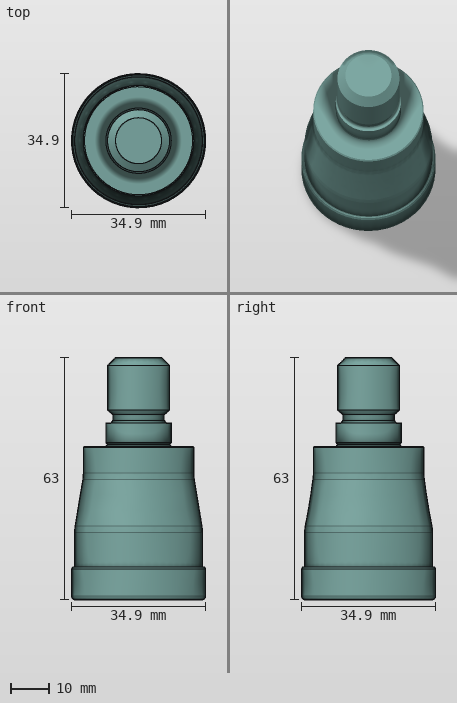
import cadquery as cq

total_height = 63.0

base_radius = 17.45
base_height = 8.55
base_bottom_fillet = 1.1
base_top_chamfer = 0.55
base_top_chamfer_width = 0.3
body_radius = 16.65
neck_radius = 14.35
housing_height = 39.95
housing_edge_chamfer = 0.3

flare_bottom = 18.35
flare_top = 32.1
flare_blend_radius = 10.6
edge_pick_margin = 0.3

collar_radius = 8.5
collar_bottom = 40.9
collar_top = 45.9
waist_radius = 8.05
waist_height = 40.45
foot_radius = collar_radius
groove_radius = 6.7
groove_bottom = 46.7
groove_top = 48.15
groove_flare_radius = 7.25
shank_radius = 8.05
shank_bottom = 49.4
shank_chamfer = 2.1


def revolve_profile(profile):
    """Turn a closed half outline (radius, height) around the Z axis."""
    return profile.close().revolve(360, (0, 0, 0), (0, 1, 0))


def make_housing():
    neck_top_radius = neck_radius - housing_edge_chamfer
    profile = (
        cq.Workplane("XZ")
        .lineTo(base_radius - base_bottom_fillet, 0)
        .radiusArc((base_radius, base_bottom_fillet), -base_bottom_fillet)
        .lineTo(base_radius, base_height - base_top_chamfer)
        .lineTo(base_radius - base_top_chamfer_width, base_height)
        .lineTo(body_radius, base_height)
        .lineTo(body_radius, flare_bottom)
        .lineTo(neck_radius, flare_top)
        .lineTo(neck_radius, housing_height - housing_edge_chamfer)
        .lineTo(neck_top_radius, housing_height)
        .lineTo(0, housing_height)
    )
    flare_edges = cq.selectors.BoxSelector(
        (-base_radius, -base_radius, flare_bottom - edge_pick_margin),
        (base_radius, base_radius, flare_top + edge_pick_margin),
        boundingbox=True,
    )
    return revolve_profile(profile).edges(flare_edges).edges("%CIRCLE").fillet(flare_blend_radius)


def make_stud():
    profile = (
        cq.Workplane("XZ")
        .moveTo(0, housing_height)
        .lineTo(foot_radius, housing_height)
        .lineTo(waist_radius, waist_height)
        .lineTo(collar_radius, collar_bottom)
        .lineTo(collar_radius, collar_top)
        .lineTo(groove_flare_radius, collar_top)
        .lineTo(groove_radius, groove_bottom)
        .lineTo(groove_radius, groove_top)
        .lineTo(shank_radius, shank_bottom)
        .lineTo(shank_radius, total_height - shank_chamfer)
        .lineTo(shank_radius - shank_chamfer, total_height)
        .lineTo(0, total_height)
    )
    return revolve_profile(profile)


housing = make_housing()
stud = make_stud()

result = cq.Compound.makeCompound([housing.val(), stud.val()])